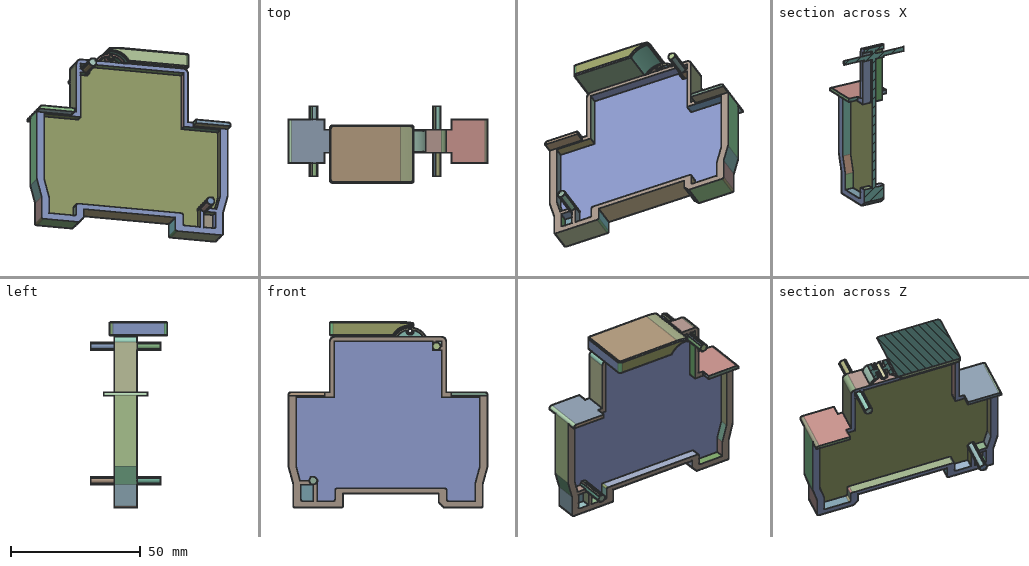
import cadquery as cq
import math

shoulder_half = 38.4
tower_half = 22.45
foot_half = 36.5
shoulder_z = 44.5
tower_z = 65.85
taper_top_z = 16.0
taper_bottom_z = 9.0
housing_depth = 8.9
web_thickness = 1.8

side_wall = 3.0
tower_wall = 1.7
floor_wall = 2.5
rail_wall = 2.0
shoulder_wall = 2.0

tower_round = 2.0
shoulder_round = 1.2
foot_round = 0.7

rail_left = -17.3
rail_right = 19.5
rail_z = 5.4
rail_wall_width = 3.1
rail_chamfer = 2.0

rib = 1.5
pin_radius = 1.47
pin_half_length = 13.5
crush_rib_radius = 0.43
crush_rib_offset = 1.27
crush_rib_count = 3
low_pin = (-28.8, 10.4)
high_pin = (18.65, 62.15)

plate_length = 14.0
plate_width = 16.9
plate_thickness = 1.45

lug_x = 8.5
lug_radius = 6.9
lug_top_z = 69.4
lug_depth = 7.9
lug_rim = 0.9
hinge_z = 68.05
hinge_hole_radius = 0.75
hinge_boss_radius = 1.5
lug_axis_z = lug_top_z - lug_radius

lid_left = -22.45
lid_right = 10.0
lid_top_z = 71.6
lid_bottom_z = 66.1
lid_front_y = -16.14
lid_back_y = 6.2
lid_crown_x = 4.8
lid_crown_radius = 24.0
lid_lug_gap = 0.35
lid_corner = 1.25
lid_chamfer = 0.5


def prism(outline, y_min, y_max):
    """Extrude an XZ outline from y_min to y_max."""
    return outline.extrude(-(y_max - y_min)).translate((0, y_min, 0))


def cylinder(x, z, radius, depth):
    """Cylinder along Y, centred on Y = 0."""
    return prism(cq.Workplane("XZ").center(x, z).circle(radius), -depth / 2, depth / 2)


def block(x_min, x_max, z_min, z_max, y_min, y_max):
    """Box between the given limits."""
    corners = [(x_min, z_min), (x_max, z_min), (x_max, z_max), (x_min, z_max)]
    return prism(cq.Workplane("XZ").polyline(corners).close(), y_min, y_max)


def edge_at(x, z):
    """Selector for the Y-parallel edges centred on (x, z)."""
    reach = 0.01
    return cq.selectors.BoxSelector(
        (x - reach, -pin_half_length, z - reach),
        (x + reach, pin_half_length, z + reach),
    )


def round_edges(body, points, radius):
    """Fillet the Y-parallel edges at the given (x, z) points."""
    for x, z in points:
        body = body.edges("|Y").edges(edge_at(x, z)).fillet(radius)
    return body


def solid_plate():
    """The housing plate before it is hollowed."""
    half = housing_depth / 2
    points = [
        (-foot_half, 0), (rail_left, 0), (rail_left, rail_z), (rail_right, rail_z),
        (rail_right, rail_chamfer), (rail_right + rail_chamfer, 0), (foot_half, 0),
        (foot_half, taper_bottom_z), (shoulder_half, taper_top_z), (shoulder_half, shoulder_z),
        (tower_half, shoulder_z), (tower_half, tower_z), (-tower_half, tower_z),
        (-tower_half, shoulder_z), (-shoulder_half, shoulder_z), (-shoulder_half, taper_top_z),
        (-foot_half, taper_bottom_z),
    ]
    body = prism(cq.Workplane("XZ").polyline(points).close(), -half, half)
    body = round_edges(body, [(-foot_half, 0), (rail_left, 0), (foot_half, 0)], foot_round)
    body = round_edges(body, [(-tower_half, tower_z), (tower_half, tower_z)], tower_round)
    return body


def recess():
    """Pocket inside the walls, from the web to the open face at -Y."""
    foot_in = foot_half - side_wall
    shoulder_in = shoulder_half - side_wall
    tower_in = tower_half - tower_wall
    ceiling = shoulder_z - shoulder_wall
    left_in = rail_left - rail_wall_width
    right_in = rail_right + rail_wall_width
    step = rail_z + rail_wall
    points = [
        (-foot_in, floor_wall), (left_in, floor_wall), (left_in, step), (right_in, step),
        (right_in, floor_wall), (foot_in, floor_wall), (foot_in, taper_bottom_z),
        (shoulder_in, taper_top_z), (shoulder_in, ceiling), (tower_in, ceiling),
        (tower_in, tower_z - tower_wall), (-tower_in, tower_z - tower_wall), (-tower_in, ceiling),
        (-shoulder_in, ceiling), (-shoulder_in, taper_top_z), (-foot_in, taper_bottom_z),
    ]
    y_min = -housing_depth / 2
    y_max = -web_thickness / 2
    pocket = prism(cq.Workplane("XZ").polyline(points).close(), y_min, y_max)
    rounded = [(-foot_in, floor_wall), (left_in, floor_wall), (left_in, step),
               (right_in, step), (right_in, floor_wall)]
    pocket = round_edges(pocket, rounded, foot_round)

    x, z = low_pin
    pocket = pocket.cut(block(-foot_half, x + rib, z - rib, z, y_min, y_max))
    pocket = pocket.cut(block(x, x + rib, 0, z, y_min, y_max))
    x, z = high_pin
    pocket = pocket.cut(block(x - rib, tower_half, z - rib, z, y_min, y_max))
    pocket = pocket.cut(block(x - rib, x, z - rib, tower_z, y_min, y_max))
    return pocket


def shoulder_plate(side):
    """Wide plate on top of a shoulder; side is -1 or +1 along X."""
    plate = block(shoulder_half - plate_length, shoulder_half, shoulder_z - plate_thickness,
                  shoulder_z, -plate_width / 2, plate_width / 2)
    return plate if side > 0 else plate.mirror("YZ")


def lug_disc(radius, bottom_z):
    """Part of a lug-wide disc on the lug axis that lies above bottom_z."""
    half = lug_depth / 2
    above = block(lug_x - lug_radius, lug_x + lug_radius, bottom_z, lug_top_z, -half, half)
    return cylinder(lug_x, lug_axis_z, radius, lug_depth).intersect(above)


def hinge_lug():
    """Disc segment on the tower, hollowed on both sides around a web and a hinge boss."""
    lug = lug_disc(lug_radius, tower_z - tower_wall / 2)
    hollow = lug_disc(lug_radius - lug_rim, tower_z)
    hollow = hollow.cut(cylinder(lug_x, lug_axis_z, lug_radius, web_thickness))
    hollow = hollow.cut(cylinder(lug_x, hinge_z, hinge_boss_radius, lug_depth))
    hole = cylinder(lug_x, hinge_z, hinge_hole_radius, lug_depth)
    return lug.cut(hollow).cut(hole)


def pin(x, z):
    """Pin along Y through both sides, with its crush ribs."""
    length = 2 * pin_half_length
    body = cylinder(x, z, pin_radius, length)
    for index in range(crush_rib_count):
        turn = 2 * math.pi * index / crush_rib_count
        rib_x = x + crush_rib_offset * math.cos(turn)
        rib_z = z + crush_rib_offset * math.sin(turn)
        body = body.union(cylinder(rib_x, rib_z, crush_rib_radius, length))
    return body


def make_housing():
    body = solid_plate()
    pocket = recess()
    body = body.cut(pocket).cut(pocket.mirror("XZ"))
    for side in (-1, 1):
        body = body.union(shoulder_plate(side))
    shoulder_corners = [(-shoulder_half, shoulder_z), (shoulder_half, shoulder_z)]
    body = round_edges(body, shoulder_corners, shoulder_round)
    for x, z in (low_pin, high_pin):
        body = body.union(pin(x, z))
    return body.union(hinge_lug())


def crown_z(x):
    """Height of the lid's curved top, which falls away from the flat part."""
    run = x - lid_crown_x
    return lid_top_z - lid_crown_radius + math.sqrt(lid_crown_radius**2 - run**2)


def make_lid():
    """Lid resting above the tower, cut away to clear the hinge lug."""
    crown_mid_x = (lid_crown_x + lid_right) / 2
    blank = (
        cq.Workplane("XZ").moveTo(lid_left, lid_bottom_z).lineTo(lid_left, lid_top_z)
        .lineTo(lid_crown_x, lid_top_z)
        .threePointArc((crown_mid_x, crown_z(crown_mid_x)), (lid_right, crown_z(lid_right)))
        .lineTo(lid_right, lid_bottom_z).close()
    )
    lid = prism(blank, lid_front_y, lid_back_y)
    relief = cylinder(lug_x, lug_axis_z, lug_radius + lid_lug_gap, 2 * (lid_back_y - lid_front_y))
    lid = lid.cut(relief)
    lid = lid.edges("|Z").fillet(lid_corner)
    return lid.faces("|Y").edges("not |Z").chamfer(lid_chamfer)


housing = make_housing()
lid = make_lid()
result = cq.Compound.makeCompound([housing.solids().val(), lid.solids().val()])